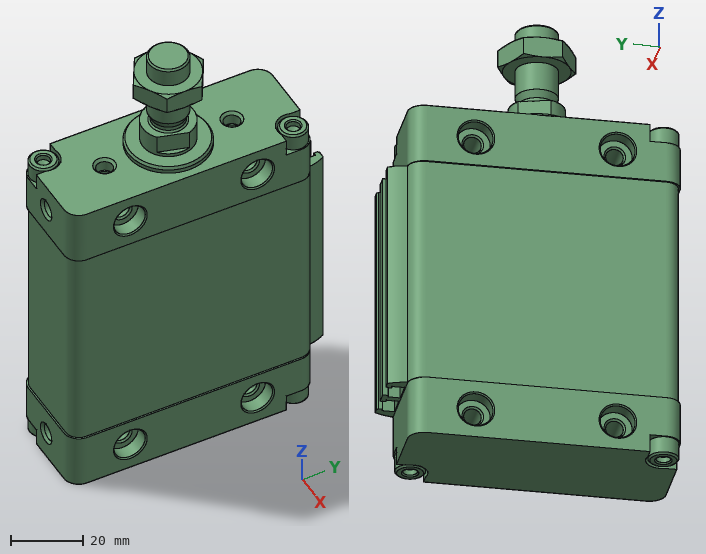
import cadquery as cq
import math

CAP_WIDTH = 30.0
CAP_LENGTH = 76.6
CAP_HEIGHT = 17.2
CAP_CORNER_RADIUS = 4.7
BARREL_WIDTH = 29.0
BARREL_HEIGHT = 67.0
BARREL_FRONT_INSET = 0.5
BARREL_BACK_RISE = 0.3
TOTAL_HEIGHT = 134.0

CYLINDER_TOP = 2 * CAP_HEIGHT + BARREL_HEIGHT
CAP_BACK = CAP_LENGTH / 2
CORNER_X = CAP_WIDTH / 2 - CAP_CORNER_RADIUS
CORNER_Y = CAP_LENGTH / 2 - CAP_CORNER_RADIUS

RAIL_HEIGHT = 5.4
RAIL_LIP = 1.6
RAIL_ROOT_DEPTH = 1.3
HOOK_OUTER_BASE = 10.9
HOOK_OUTER_MIDDLE = 10.3
HOOK_OUTER_TOP = 9.1
HOOK_STEM_INNER = 7.5
HOOK_LIP_INNER = 6.5
HOOK_LIP_ROUNDING = 0.4
TEE_STEM_WIDTH = 2.1
TEE_LIP_WIDTH = 3.9

SIDE_HOLE_SPACING = 39.9
SIDE_HOLE_DIAMETER = 5.0
SIDE_HOLE_CHAMFER = 0.5
COUNTERBORE_DIAMETER = 9.8
COUNTERBORE_CHAMFER = 0.4
COUNTERBORE_DEPTH = 4.5
THREAD_HOLE_DIAMETER = 5.0
THREAD_HOLE_CHAMFER = 0.8
THREAD_HOLE_DEPTH = 4.0
CORE_HOLE_DIAMETER = 4.0
CORE_HOLE_DEPTH = 5.4

SCREW_POCKET_DIAMETER = 9.8
SCREW_POCKET_WIDTH = 9.2
SCREW_HEAD_DIAMETER = 8.6
SCREW_HEAD_HEIGHT = 5.2
SCREW_HEAD_CHAMFER = 0.5
SOCKET_DIAMETER = 4.0
SOCKET_CHAMFER = 0.4
SOCKET_DEPTH = 2.0
SOCKET_POINT_DEPTH = 1.3

BOSS_DIAMETER = 25.0
BOSS_HEIGHT = 2.0
BOSS_CHAMFER_HEIGHT = 0.8
BOSS_CHAMFER_WIDTH = 0.5

COLLAR_DIAMETER = 16.0
COLLAR_HEIGHT = 6.7
FLAT_HEIGHT = 5.6
FLAT_WIDTH = 13.0
FLAT_ANGLE = -16.0
NECK_DIAMETER = 10.2
NECK_HEIGHT = 1.7
NECK_FLARE = 0.5
THREAD_DIAMETER = 12.0
THREAD_RUNOUT = 2.1
THREAD_TIP_CHAMFER = 0.5

NUT_ACROSS_FLATS = 19.0
NUT_HEIGHT = 6.0
NUT_TOP_GAP = 5.8
NUT_ANGLE = 30.0
NUT_CHAMFER_HEIGHT = 0.5
NUT_FACE_DIAMETER = 19.0


def make_rail_hook(side, base):
    """One curved rail hook, rooted at Y = base; side is -1 or +1."""
    top = CAP_BACK + RAIL_HEIGHT
    return (
        cq.Workplane("XY")
        .moveTo(side * HOOK_STEM_INNER, base)
        .lineTo(side * HOOK_STEM_INNER, top - RAIL_LIP)
        .lineTo(side * HOOK_LIP_INNER, top - RAIL_LIP)
        .lineTo(side * HOOK_LIP_INNER, top - HOOK_LIP_ROUNDING)
        .radiusArc((side * (HOOK_LIP_INNER + HOOK_LIP_ROUNDING), top), -side * HOOK_LIP_ROUNDING)
        .lineTo(side * HOOK_OUTER_TOP, top)
        .threePointArc(
            (side * HOOK_OUTER_MIDDLE, CAP_BACK + RAIL_HEIGHT / 2),
            (side * HOOK_OUTER_BASE, CAP_BACK),
        )
        .lineTo(side * HOOK_OUTER_BASE, base)
        .close()
        .extrude(BARREL_HEIGHT)
    )


def make_rail_tee(base):
    top = CAP_BACK + RAIL_HEIGHT
    stem = cq.Workplane("XY").box(
        TEE_STEM_WIDTH, top - base, BARREL_HEIGHT, centered=(True, False, False)
    ).translate((0, base, 0))
    lip = cq.Workplane("XY").box(
        TEE_LIP_WIDTH, RAIL_LIP, BARREL_HEIGHT, centered=(True, False, False)
    ).translate((0, top - RAIL_LIP, 0))
    return stem.union(lip)


def make_barrel():
    front = -CAP_BACK + BARREL_FRONT_INSET
    back = CAP_BACK + BARREL_BACK_RISE
    barrel = (
        cq.Workplane("XY")
        .box(BARREL_WIDTH, back - front, BARREL_HEIGHT, centered=(True, False, False))
        .translate((0, front, 0))
        .edges("|Z and <Y")
        .fillet(BARREL_WIDTH / 2 - CORNER_X)
        .edges("|Z and >Y")
        .fillet(CAP_CORNER_RADIUS)
    )
    rail_base = CAP_BACK - RAIL_ROOT_DEPTH
    for side in (-1, 1):
        barrel = barrel.union(make_rail_hook(side, rail_base))
    barrel = barrel.union(make_rail_tee(rail_base))
    return barrel.translate((0, 0, CAP_HEIGHT))


def chamfered_hole(diameter, chamfer, depth):
    """Cutter with its mouth at the origin, running down -Z."""
    bore = cq.Workplane("XY").circle(diameter / 2).extrude(-depth)
    mouth = cq.Solid.makeCone(diameter / 2 + chamfer, diameter / 2, chamfer, dir=cq.Vector(0, 0, -1))
    return bore.union(cq.Workplane(mouth))


def make_threaded_hole():
    """Blind hole cutter with its mouth at the origin: a thread bore and a narrower core below it."""
    thread = chamfered_hole(THREAD_HOLE_DIAMETER, THREAD_HOLE_CHAMFER, THREAD_HOLE_DEPTH)
    core = cq.Workplane("XY").circle(CORE_HOLE_DIAMETER / 2).extrude(-CORE_HOLE_DEPTH)
    return thread.union(core)


def make_side_hole():
    """Through hole along X, counterbored on both sides."""
    hole = cq.Workplane("YZ").circle(SIDE_HOLE_DIAMETER / 2).extrude(CAP_WIDTH / 2, both=True)
    counterbore = chamfered_hole(COUNTERBORE_DIAMETER, COUNTERBORE_CHAMFER, COUNTERBORE_DEPTH)
    inner_mouth = chamfered_hole(SIDE_HOLE_DIAMETER, SIDE_HOLE_CHAMFER, SIDE_HOLE_CHAMFER)
    entry = counterbore.union(inner_mouth.translate((0, 0, -COUNTERBORE_DEPTH)))
    entry = entry.translate((0, 0, CAP_WIDTH / 2))
    for angle in (-90, 90):
        hole = hole.union(entry.rotate((0, 0, 0), (0, 1, 0), angle))
    return hole


def make_screw_pocket():
    """Corner pocket cutter for the +X +Y corner, open at the top."""
    reach = SCREW_POCKET_DIAMETER
    pocket = cq.Workplane("XY").circle(SCREW_POCKET_DIAMETER / 2).extrude(-SCREW_HEAD_HEIGHT)
    toward_side = cq.Workplane("XY").box(
        reach, SCREW_POCKET_WIDTH, SCREW_HEAD_HEIGHT, centered=(False, True, False)
    )
    toward_back = cq.Workplane("XY").box(
        SCREW_POCKET_WIDTH, reach, SCREW_HEAD_HEIGHT, centered=(True, False, False)
    )
    sides = toward_side.union(toward_back).translate((0, 0, -SCREW_HEAD_HEIGHT))
    return pocket.union(sides)


def make_screw_head():
    """Socket screw head with its top at the origin."""
    head = (
        cq.Workplane("XY")
        .circle(SCREW_HEAD_DIAMETER / 2)
        .extrude(-SCREW_HEAD_HEIGHT)
        .faces(">Z")
        .chamfer(SCREW_HEAD_CHAMFER)
    )
    socket = chamfered_hole(SOCKET_DIAMETER, SOCKET_CHAMFER, SOCKET_DEPTH)
    point = cq.Solid.makeCone(
        SOCKET_DIAMETER / 2, 0, SOCKET_POINT_DEPTH,
        pnt=cq.Vector(0, 0, -SOCKET_DEPTH), dir=cq.Vector(0, 0, -1),
    )
    return head.cut(socket).cut(cq.Workplane(point))


def make_cap():
    """Cap with its outer face up at Z = CAP_HEIGHT."""
    cap = (
        cq.Workplane("XY")
        .box(CAP_WIDTH, CAP_LENGTH, CAP_HEIGHT, centered=(True, True, False))
        .edges("|Z")
        .fillet(CAP_CORNER_RADIUS)
    )
    for y in (-SIDE_HOLE_SPACING / 2, SIDE_HOLE_SPACING / 2):
        cap = cap.cut(make_side_hole().translate((0, y, CAP_HEIGHT / 2)))
    place = (CORNER_X, CORNER_Y, CAP_HEIGHT)
    for angle in (0, 180):
        pocket = make_screw_pocket().translate(place)
        head = make_screw_head().translate(place)
        cap = cap.cut(pocket.rotate((0, 0, 0), (0, 0, 1), angle))
        cap = cap.union(head.rotate((0, 0, 0), (0, 0, 1), angle))
    return cap


def make_port():
    """Air port cutter in the -Y face of a cap."""
    port = make_threaded_hole()
    return port.rotate((0, 0, 0), (1, 0, 0), 90).translate((0, -CAP_BACK, CAP_HEIGHT / 2))


def make_end_cap():
    cap = make_cap().mirror("XY").translate((0, 0, CAP_HEIGHT))
    return cap.cut(make_port())


def make_head_cap():
    cap = make_cap().cut(make_port())
    for y in (-SIDE_HOLE_SPACING / 2, SIDE_HOLE_SPACING / 2):
        cap = cap.cut(make_threaded_hole().translate((0, y, CAP_HEIGHT)))
    boss = (
        cq.Workplane("XY", origin=(0, 0, CAP_HEIGHT))
        .circle(BOSS_DIAMETER / 2)
        .extrude(BOSS_HEIGHT)
        .faces(">Z")
        .chamfer(BOSS_CHAMFER_HEIGHT, BOSS_CHAMFER_WIDTH)
    )
    return cap.union(boss).translate((0, 0, CAP_HEIGHT + BARREL_HEIGHT))


def make_rod():
    bottom = CYLINDER_TOP + BOSS_HEIGHT
    collar_top = bottom + COLLAR_HEIGHT
    neck_top = collar_top + NECK_HEIGHT
    thread_bottom = neck_top + THREAD_RUNOUT
    rod = (
        cq.Workplane("XZ")
        .moveTo(0, bottom)
        .lineTo(COLLAR_DIAMETER / 2, bottom)
        .lineTo(COLLAR_DIAMETER / 2, collar_top)
        .lineTo(NECK_DIAMETER / 2 + NECK_FLARE, collar_top)
        .lineTo(NECK_DIAMETER / 2, collar_top + NECK_FLARE)
        .lineTo(NECK_DIAMETER / 2, neck_top)
        .lineTo(THREAD_DIAMETER / 2, thread_bottom)
        .lineTo(THREAD_DIAMETER / 2, TOTAL_HEIGHT - THREAD_TIP_CHAMFER)
        .lineTo(THREAD_DIAMETER / 2 - THREAD_TIP_CHAMFER, TOTAL_HEIGHT)
        .lineTo(0, TOTAL_HEIGHT)
        .close()
        .revolve(360, (0, 0, 0), (0, 1, 0))
    )
    for side in (-1, 1):
        flat = (
            cq.Workplane("XY")
            .box(COLLAR_DIAMETER, 2 * COLLAR_DIAMETER, FLAT_HEIGHT, centered=(True, True, False))
            .translate((side * (FLAT_WIDTH + COLLAR_DIAMETER) / 2, 0, collar_top - FLAT_HEIGHT))
            .rotate((0, 0, 0), (0, 0, 1), FLAT_ANGLE)
        )
        rod = rod.cut(flat)
    return rod


def make_nut():
    corner_radius = NUT_ACROSS_FLATS / math.sqrt(3)
    hexagon = (
        cq.Workplane("XY")
        .polygon(6, 2 * corner_radius)
        .extrude(NUT_HEIGHT)
        .rotate((0, 0, 0), (0, 0, 1), NUT_ANGLE)
    )
    rounding = (
        cq.Workplane("XY")
        .circle(corner_radius)
        .extrude(NUT_HEIGHT)
        .faces("<Z or >Z")
        .chamfer(NUT_CHAMFER_HEIGHT, corner_radius - NUT_FACE_DIAMETER / 2)
    )
    bore = cq.Workplane("XY").circle(THREAD_DIAMETER / 2).extrude(NUT_HEIGHT)
    bottom = TOTAL_HEIGHT - NUT_TOP_GAP - NUT_HEIGHT
    return hexagon.intersect(rounding).cut(bore).translate((0, 0, bottom))


barrel = make_barrel()
end_cap = make_end_cap()
head_cap = make_head_cap()
piston_rod = make_rod()
lock_nut = make_nut()

result = cq.Compound.makeCompound(
    [barrel.val(), end_cap.val(), head_cap.val(), piston_rod.val(), lock_nut.val()]
)